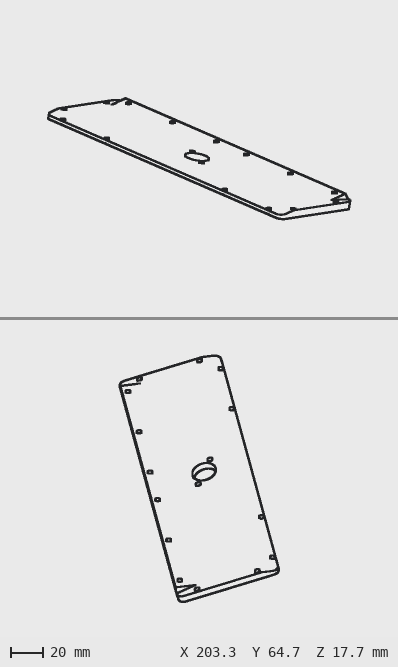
import cadquery as cq
import math

plate_width = 203.3
plate_length = 65.3
plate_thickness = 5.0
tilt_deg = 13.5
corner_radius = 4.0

overall_height = 17.7
ledge_height = 8.0
ledge_end_inset = 6.5
ledge_end_angle_deg = 40.0

screw_diameter = 3.0
screw_pitch = 38.0
outer_screw_x = 89.0
inner_screw_x = outer_screw_x - screw_pitch
middle_screw_x = inner_screw_x - screw_pitch
back_screw_y = 28.7
front_screw_y = -29.9

side_screw_x = 99.2
side_screw_pitch = 39.0
bore_diameter = 15.0
bore_x = 1.2
bore_distance = 28.7
pin_diameter = 3.3
pin_offset_x = 9.1
pin_offset_along = 5.5

tilt = math.radians(tilt_deg)
total_depth = plate_length * math.cos(tilt) + plate_thickness * math.sin(tilt)
back_y = total_depth / 2
front_y = -back_y
front_bottom_z = plate_length * math.sin(tilt)


def surface_z(y):
    """Height of the sloping top surface at depth y."""
    return front_bottom_z + plate_thickness / math.cos(tilt) - (y - front_y) * math.tan(tilt)


def make_plate():
    """Rounded rectangular plate with its square-drilled holes, tilted into place."""
    plate = (
        cq.Workplane("XY")
        .box(plate_width, plate_length, plate_thickness, centered=(True, False, False))
        .edges("|Z")
        .fillet(corner_radius)
    )

    def drill(points, diameter):
        return cq.Workplane("XY").pushPoints(points).circle(diameter / 2).extrude(plate_thickness)

    side_points = [
        (x, plate_length / 2 + offset)
        for x in (-side_screw_x, side_screw_x)
        for offset in (-side_screw_pitch / 2, side_screw_pitch / 2)
    ]
    pin_points = [
        (bore_x + side * pin_offset_x, bore_distance - side * pin_offset_along)
        for side in (-1, 1)
    ]
    plate = plate.cut(drill(side_points, screw_diameter))
    plate = plate.cut(drill([(bore_x, bore_distance)], bore_diameter))
    plate = plate.cut(drill(pin_points, pin_diameter))
    plate = plate.rotate((0, 0, 0), (1, 0, 0), -tilt_deg)
    return plate.translate((0, front_y, front_bottom_z))


def make_ledge():
    """Level wedge along the back edge, with ends that slope outward to the plate."""
    back_surface_z = surface_z(back_y)
    ledge_front_y = back_y - (ledge_height - back_surface_z) / math.tan(tilt)
    wedge = (
        cq.Workplane("YZ")
        .polyline([(ledge_front_y, ledge_height), (back_y, ledge_height), (back_y, back_surface_z)])
        .close()
        .extrude(plate_width / 2, both=True)
    )
    top_half = plate_width / 2 - ledge_end_inset
    spread = (ledge_height - back_surface_z) * math.tan(math.radians(ledge_end_angle_deg))
    base_half = top_half + spread
    sloped_ends = (
        cq.Workplane("XZ")
        .polyline([
            (-base_half, back_surface_z),
            (base_half, back_surface_z),
            (top_half, ledge_height),
            (-top_half, ledge_height),
        ])
        .close()
        .extrude(total_depth, both=True)
    )
    return wedge.intersect(sloped_ends)


def make_vertical_holes():
    """Six holes in the back ledge and four in the front flat."""
    points = []
    for side in (-1, 1):
        points += [(side * x, back_screw_y) for x in (outer_screw_x, inner_screw_x, middle_screw_x)]
        points += [(side * x, front_screw_y) for x in (outer_screw_x, inner_screw_x)]
    return cq.Workplane("XY").pushPoints(points).circle(screw_diameter / 2).extrude(overall_height)


envelope = cq.Workplane("XY").box(
    plate_width, total_depth, overall_height, centered=(True, True, False)
)
result = make_plate().intersect(envelope).union(make_ledge()).cut(make_vertical_holes())